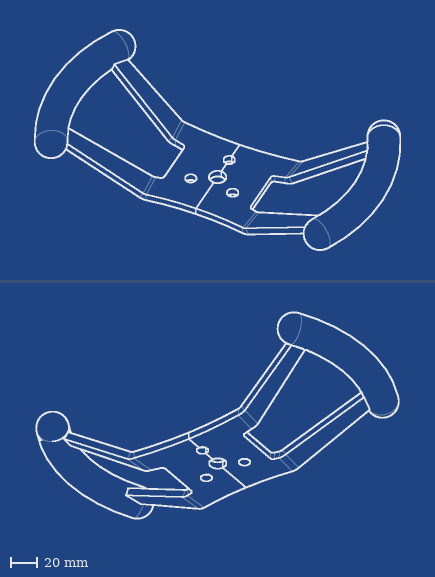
import cadquery as cq
import math


overall_length = 279.4
overall_height = 57.3
grip_diameter = 25.1
grip_radius = grip_diameter / 2
grip_height = overall_height - grip_radius
grip_arc_radius = 122.4
grip_back_y = 59.2
grip_front_y = -56.0
grip_apex_x = -(overall_length / 2 - grip_radius)

plate_thickness = 6.1
back_edge_y = 38.5
front_edge_y = -37.7
edge_arc_radius = 304.5
window_x = -36.5
window_half_width = 19.3
window_corner_radius = 2.8

hub_hole_diameter = 13.0
bolt_hole_diameter = 8.7
bolt_circle_radius = 20.5
bolt_count = 3

back_bend_angle = math.radians(34)
front_bend_angle = math.radians(30)
bend_inner_radius = 5.0
arm_end_x = -114.5
back_fold_outer = (-48.3, 42.2)
back_fold_inner = (-46.5, 21.8)
back_tip_outer = (-100.0, 53.4)
back_tip_inner = (-106.0, 40.2)
front_fold_outer = (-40.8, -40.8)
front_fold_inner = (-42.5, -20.7)
front_tip_outer = (-103.5, -49.7)
front_tip_inner = (-107.5, -36.0)


def centreline_x(y):
    """X of the grip centreline at a given Y."""
    return grip_apex_x + grip_arc_radius - math.sqrt(grip_arc_radius**2 - y**2)


def grip():
    """Curved round bar with a spherical end at each side."""
    back_end = (centreline_x(grip_back_y), grip_back_y)
    front_end = (centreline_x(grip_front_y), grip_front_y)
    path = (
        cq.Workplane("XY", origin=(0, 0, grip_height))
        .moveTo(*back_end)
        .threePointArc((grip_apex_x, 0), front_end)
    )
    tangent = cq.Vector(grip_back_y, grip_arc_radius + grip_apex_x - back_end[0], 0)
    section = cq.Plane(origin=(*back_end, grip_height), xDir=(0, 0, 1), normal=tangent.toTuple())
    bar = cq.Workplane(section).circle(grip_radius).sweep(path)
    for end in (back_end, front_end):
        bar = bar.union(cq.Workplane("XY", origin=(*end, grip_height)).sphere(grip_radius))
    return bar


def edge_arc_middle(fold_outer, edge_y):
    """Point halfway along a long plate edge, on its arc."""
    x = fold_outer[0] / 2
    side = math.copysign(1, edge_y)
    sag = edge_arc_radius - math.sqrt(edge_arc_radius**2 - x**2)
    return (x, edge_y + side * sag)


def plate():
    """Flat half of the hub plate, out to the two fold lines."""
    flat = (
        cq.Workplane("XY")
        .moveTo(0, back_edge_y)
        .threePointArc(edge_arc_middle(back_fold_outer, back_edge_y), back_fold_outer)
        .lineTo(*back_fold_inner)
        .lineTo(window_x, window_half_width)
        .lineTo(window_x, -window_half_width)
        .lineTo(*front_fold_inner)
        .lineTo(*front_fold_outer)
        .threePointArc(edge_arc_middle(front_fold_outer, front_edge_y), (0, front_edge_y))
        .close()
        .extrude(plate_thickness)
    )
    margin = 0.3
    corners = cq.selectors.BoxSelector(
        (window_x - margin, -window_half_width - margin, 0),
        (window_x + margin, window_half_width + margin, plate_thickness),
    )
    return flat.edges("|Z").edges(corners).fillet(window_corner_radius)


def arm(bend_angle, fold_outer, fold_inner, tip_outer, tip_inner):
    """Tapered sheet arm: a rounded upward bend followed by a straight run."""
    outer = cq.Vector(*fold_outer, 0)
    fold = cq.Vector(*fold_inner, 0) - outer
    fold_width = fold.Length
    along = fold.normalized()
    outward = cq.Vector(0, 0, 1).cross(along)
    if outward.x > 0:
        outward = -outward

    def drift(start, tip):
        """Sideways shift of an arm edge per unit of sheet length."""
        step = cq.Vector(*tip, 0) - cq.Vector(*start, 0)
        return step.dot(along) / step.dot(outward) * math.cos(bend_angle)

    outer_drift = drift(fold_outer, tip_outer)
    inner_drift = drift(fold_inner, tip_inner)

    def section(angle, run):
        """Outline across the sheet after bending by angle and then running straight."""
        length = bend_inner_radius * angle + run
        edges = (outer_drift * length, fold_width + inner_drift * length)

        def point(sideways, radius):
            reach = radius * math.sin(angle) + run * math.cos(angle)
            drop = radius * math.cos(angle) - run * math.sin(angle)
            height = plate_thickness + bend_inner_radius - drop
            return outer + along * sideways + outward * reach + cq.Vector(0, 0, height)

        top = [point(edge, bend_inner_radius) for edge in edges]
        bottom = [point(edge, bend_inner_radius + plate_thickness) for edge in reversed(edges)]
        return cq.Wire.makePolygon(top + bottom, close=True)

    run = (fold_outer[0] - arm_end_x) / math.cos(bend_angle)
    bend = cq.Solid.makeLoft([section(0, 0), section(bend_angle / 2, 0), section(bend_angle, 0)])
    straight = cq.Solid.makeLoft([section(bend_angle, 0), section(bend_angle, run)], True)
    return cq.Workplane(bend).union(cq.Workplane(straight))


def holes():
    """Cutters for the hub hole and the bolt circle."""
    hub = cq.Workplane("XY").circle(hub_hole_diameter / 2).extrude(plate_thickness)
    bolts = (
        cq.Workplane("XY")
        .polarArray(bolt_circle_radius, 90, 360, bolt_count)
        .circle(bolt_hole_diameter / 2)
        .extrude(plate_thickness)
    )
    return hub.union(bolts)


def wheel_half():
    """Half at -X: plate, two arms and grip in one solid."""
    back_arm = arm(back_bend_angle, back_fold_outer, back_fold_inner, back_tip_outer, back_tip_inner)
    front_arm = arm(front_bend_angle, front_fold_outer, front_fold_inner, front_tip_outer, front_tip_inner)
    return plate().union(back_arm).union(front_arm).union(grip()).cut(holes())


left_half = wheel_half()
right_half = left_half.mirror("YZ")

result = cq.Compound.makeCompound([left_half.solids().val(), right_half.solids().val()])